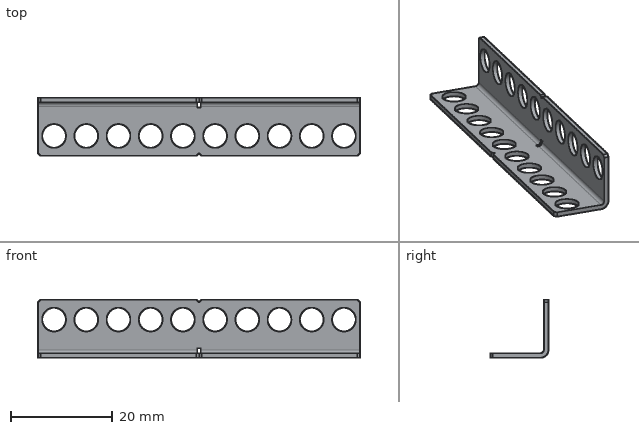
import cadquery as cq

length = 63.5
leg = 11.5
thickness = 0.95
inner_radius = 0.7
outer_radius = inner_radius + thickness

hole_count = 10
hole_pitch = length / hole_count
hole_diameter = 4.65
hole_edge_distance = 3.95

corner_chamfer = 0.5
notch_depth = 0.5
slot_width = 0.65
slot_reach = 1.9


def angle_profile():
    """Bent sheet: upright leg along Z, flat leg along -Y, outer corner at the origin."""
    section = (
        cq.Workplane("YZ")
        .polyline([(0, 0), (0, leg), (-thickness, leg), (-thickness, thickness),
                   (-leg, thickness), (-leg, 0)])
        .close()
        .extrude(length / 2, both=True)
    )
    outer_bend = cq.selectors.NearestToPointSelector((0, 0, 0))
    inner_bend = cq.selectors.NearestToPointSelector((0, -thickness, thickness))
    section = section.edges("|X").edges(outer_bend).fillet(outer_radius)
    return section.edges("|X").edges(inner_bend).fillet(inner_radius)


def leg_cutter(plane, edge_position):
    """Holes, centre V notch and end chamfers of the leg lying in the given plane."""
    inward = -1 if edge_position > 0 else 1
    hole_line = edge_position + inward * hole_edge_distance
    hole_centres = [
        ((i - (hole_count - 1) / 2) * hole_pitch, hole_line) for i in range(hole_count)
    ]
    cutter = (
        cq.Workplane(plane).pushPoints(hole_centres).circle(hole_diameter / 2).extrude(thickness)
    )

    notch_tip = edge_position + inward * notch_depth
    notch = (
        cq.Workplane(plane)
        .polyline([(-notch_depth, edge_position), (0, notch_tip), (notch_depth, edge_position)])
        .close()
        .extrude(thickness)
    )
    cutter = cutter.add(notch)

    for side in (-1, 1):
        end = side * length / 2
        corner = (
            cq.Workplane(plane)
            .polyline([(end, edge_position),
                       (end - side * corner_chamfer, edge_position),
                       (end, edge_position + inward * corner_chamfer)])
            .close()
            .extrude(thickness)
        )
        cutter = cutter.add(corner)
    return cutter.combine()


def bend_slot():
    """Narrow relief slot through the bend at mid-length."""
    return (
        cq.Workplane("XY")
        .box(slot_width, slot_reach, slot_reach)
        .translate((0, -slot_reach / 2, slot_reach / 2))
    )


bracket = angle_profile()
bracket = bracket.cut(leg_cutter("XZ", leg))
bracket = bracket.cut(leg_cutter("XY", -leg))
bracket = bracket.cut(bend_slot())
result = bracket.translate((0, leg / 2, -leg / 2))